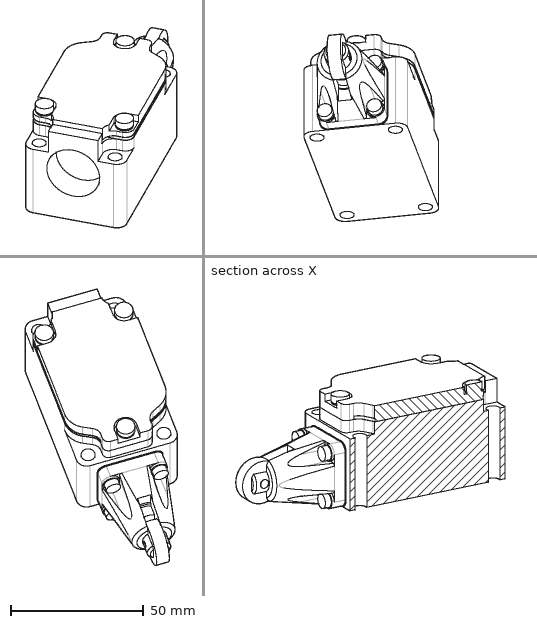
import cadquery as cq
import math

body_width = 40.0
body_length = 68.4
body_corner_radius = 4.0
ledge_z = 29.1
housing_top_z = 34.0
half_width = body_width / 2

mount_hole_diameter = 5.3
mount_hole_pitch_x = 30.2
mount_hole_pitch_y = 58.7

neck_half_width = 9.9
tongue_depth = 5.0
tongue_top_z = 38.6

conduit_diameter = 21.0
conduit_z = 21.6
conduit_depth = 11.4

front_ledge_depth = 9.57
front_outer_radius = 3.5
front_inner_radius = 4.2
rear_edge_y = 67.35
rear_corner_radius = 2.4
rear_inner_y = 60.9
rear_inner_radius = 4.0
rear_outer_y = 55.5
rear_outer_radius = 8.7

cover_front_y = 5.5
cover_rim_z = 35.3
cover_top_z = 40.5
lip_inset = 0.15
lip_rear_y = 63.0

cover_screw_diameter = 7.0
cover_screw_top_z = 41.2
cover_screw_head_height = 3.0
cover_screw_neck_diameter = 6.4
screw_recess_radius = 4.4
screw_recess_floor_z = 37.6
front_screw_x = 15.9
front_screw_y = 13.7
rear_screw_y = 63.2

head_axis_z = 13.1
pad_thickness = 0.35
pad_half_width = head_axis_z
flange_half_width = 12.9
flange_corner_radius = 3.35
flange_top_y = 73.5
facet_base_half_width = 5.0
taper_base_radius = math.hypot(flange_half_width, facet_base_half_width)
taper_top_y = 96.25
taper_top_radius = 8.62
facet_top_offset = 8.66
tip_y = 97.2
tip_radius = 6.95

head_screw_offset = flange_half_width - flange_corner_radius
head_screw_radius = 2.85
head_screw_height = 2.6
head_washer_radius = flange_corner_radius
head_washer_thickness = 1.0
head_pocket_radius = 3.55

roller_radius = 8.5
roller_width = 5.1
roller_y = 99.2
slot_floor_y = 84.9
collar_radius = 6.0
collar_height = 0.7
plunger_radius = 4.75
plunger_top_y = 103.75
plunger_chamfer = 0.95
plunger_slot_floor_y = 89.8
pin_diameter = 3.5
pin_half_length = 4.4


def rounded_outline(plane, corners):
    """Closed outline through (x, y, radius) corners, each rounded by a tangent arc."""
    wire = None
    for i, (x, y, radius) in enumerate(corners):
        corner = cq.Vector(x, y)
        to_before = (cq.Vector(*corners[i - 1][:2]) - corner).normalized()
        to_after = (cq.Vector(*corners[(i + 1) % len(corners)][:2]) - corner).normalized()
        half_angle = to_before.getAngle(to_after) / 2
        tangent_length = radius / math.tan(half_angle)
        arc_start = corner + to_before * tangent_length
        arc_end = corner + to_after * tangent_length
        bisector = (to_before + to_after).normalized()
        arc_middle = corner + bisector * (radius / math.sin(half_angle) - radius)
        start = arc_start.toTuple()[:2]
        wire = plane.moveTo(*start) if wire is None else wire.lineTo(*start)
        if radius > 0:
            wire = wire.threePointArc(arc_middle.toTuple()[:2], arc_end.toTuple()[:2])
    return wire.close()


def mirrored(half):
    """Complete a left-hand list of corners with its reflection in the YZ plane."""
    return half + [(-x, y, radius) for x, y, radius in reversed(half)]


def level(z):
    """Horizontal workplane at height z."""
    return cq.Workplane("XY", origin=(0, 0, z))


def box(x_min, x_max, y_min, y_max, z_min, z_max):
    size = (x_max - x_min, y_max - y_min, z_max - z_min)
    return cq.Workplane("XY").box(*size, centered=False).translate((x_min, y_min, z_min))


rear_half_outline = [
    (-half_width, rear_outer_y, rear_outer_radius),
    (-neck_half_width, rear_inner_y, rear_inner_radius),
    (-neck_half_width, rear_edge_y, rear_corner_radius),
]


def necked_outline(z, front_y):
    """Outline with all four corners cut back; the front neck reaches front_y."""
    front_half = [
        (-neck_half_width, front_y, 0),
        (-neck_half_width, front_ledge_depth, front_inner_radius),
        (-half_width, front_ledge_depth, front_outer_radius),
    ]
    return rounded_outline(level(z), mirrored(front_half + rear_half_outline))


def make_housing():
    """Block with mounting holes, a necked upper part, a front tongue and a blind conduit hole."""
    block = box(-half_width, half_width, 0, body_length, 0, ledge_z)
    block = block.edges("|Z").fillet(body_corner_radius)
    neck = necked_outline(ledge_z, 0).extrude(housing_top_z - ledge_z)
    tongue = box(-neck_half_width, neck_half_width, 0, tongue_depth, ledge_z, tongue_top_z)
    mount_holes = (
        level(0)
        .center(0, body_length / 2)
        .rect(mount_hole_pitch_x, mount_hole_pitch_y, forConstruction=True)
        .vertices()
        .circle(mount_hole_diameter / 2)
        .extrude(ledge_z)
    )
    conduit = cq.Workplane("XZ", origin=(0, 0, conduit_z)).circle(conduit_diameter / 2)
    conduit = conduit.extrude(-conduit_depth)
    return block.union(neck).union(tongue).cut(mount_holes).cut(conduit)


def make_cover_plate():
    plate = necked_outline(cover_rim_z, cover_front_y).extrude(cover_top_z - cover_rim_z)

    lip_height = cover_rim_z - housing_top_z
    lip_half = [(-half_width, front_ledge_depth, front_outer_radius)] + rear_half_outline
    lip_outline = rounded_outline(level(housing_top_z), mirrored(lip_half))
    lip = lip_outline.offset2D(-lip_inset).extrude(lip_height)
    rear_zone = box(-half_width, half_width, lip_rear_y, body_length, housing_top_z, cover_rim_z)
    rear_lip = necked_outline(housing_top_z, cover_front_y).extrude(lip_height).intersect(rear_zone)
    return plate.union(lip).union(rear_lip)


def screw_recess(x, y):
    """Round part of the recess around a cover screw."""
    depth = cover_top_z - screw_recess_floor_z
    return level(screw_recess_floor_z).center(x, y).circle(screw_recess_radius).extrude(depth)


def cover_screw(x, y):
    """Screw head on a slightly narrower neck, standing on the recess floor."""
    head_z = cover_screw_top_z - cover_screw_head_height
    neck = (
        level(screw_recess_floor_z)
        .center(x, y)
        .circle(cover_screw_neck_diameter / 2)
        .extrude(head_z - screw_recess_floor_z)
    )
    head = level(head_z).center(x, y).circle(cover_screw_diameter / 2).extrude(cover_screw_head_height)
    return neck.union(head)


def make_cover():
    """Cover plate with its three screws in open-sided recesses."""
    cover = make_cover_plate()
    floor, top, reach = screw_recess_floor_z, cover_top_z, screw_recess_radius

    cover = cover.cut(screw_recess(0, rear_screw_y))
    cover = cover.cut(box(-reach, reach, rear_screw_y, body_length, floor, top))
    cover = cover.union(cover_screw(0, rear_screw_y))

    for side in (-1, 1):
        screw_x = side * front_screw_x
        inner_x = side * (front_screw_x - reach)
        outer_x = side * half_width
        inner_span = sorted((inner_x, outer_x))
        outer_span = sorted((screw_x, outer_x))
        cover = cover.cut(screw_recess(screw_x, front_screw_y))
        cover = cover.cut(box(*inner_span, front_ledge_depth - reach, front_screw_y, floor, top))
        cover = cover.cut(box(*outer_span, front_screw_y, front_screw_y + reach, floor, top))
        cover = cover.union(cover_screw(screw_x, front_screw_y))
    return cover


def head_section(y):
    """Workplane across the head axis, facing +Y."""
    return cq.Workplane(cq.Plane((0, y, head_axis_z), (1, 0, 0), (0, 1, 0)))


def rounded_square(y, half, radius):
    """Outline of a square with rounded corners across the head axis."""
    corners = [(-half, -half, radius), (half, -half, radius), (half, half, radius), (-half, half, radius)]
    return rounded_outline(head_section(y), corners)


def frustum(y_start, radius_start, y_end, radius_end):
    """Cone frustum on the head axis."""
    length = y_end - y_start
    base = cq.Vector(0, y_start, head_axis_z)
    return cq.Workplane(cq.Solid.makeCone(radius_start, radius_end, length, base, cq.Vector(0, 1, 0)))


def make_head_casting():
    flange_y = body_length + pad_thickness
    pad = rounded_square(body_length, pad_half_width, flange_corner_radius).extrude(pad_thickness)
    flange = rounded_square(flange_y, flange_half_width, flange_corner_radius)
    flange = flange.extrude(flange_top_y - flange_y)

    cone = frustum(flange_top_y, taper_base_radius, taper_top_y, taper_top_radius)
    pyramid = (
        head_section(flange_top_y)
        .rect(2 * flange_half_width, 2 * flange_half_width)
        .workplane(offset=taper_top_y - flange_top_y)
        .rect(2 * facet_top_offset, 2 * facet_top_offset)
        .loft(ruled=True)
    )
    tip = frustum(taper_top_y, taper_top_radius, tip_y, tip_radius)
    taper = cone.intersect(pyramid).union(tip)

    pocket_inner = head_screw_offset - head_pocket_radius
    pocket_outer = flange_half_width + head_pocket_radius
    for sx in (-1, 1):
        for sz in (-1, 1):
            corners = [
                (sx * pocket_inner, sz * pocket_inner, head_pocket_radius),
                (sx * pocket_outer, sz * pocket_inner, 0),
                (sx * pocket_outer, sz * pocket_outer, 0),
                (sx * pocket_inner, sz * pocket_outer, 0),
            ]
            pocket = rounded_outline(head_section(flange_top_y), corners).extrude(tip_y - flange_top_y)
            taper = taper.cut(pocket)

    slot = head_section(slot_floor_y).rect(roller_width, 2 * flange_half_width).extrude(tip_y - slot_floor_y)
    return pad.union(flange).union(taper.cut(slot))


def make_head_screws():
    pitch = 2 * head_screw_offset
    washers = head_section(flange_top_y).rect(pitch, pitch, forConstruction=True).vertices()
    washers = washers.circle(head_washer_radius).extrude(head_washer_thickness)
    heads = head_section(flange_top_y + head_washer_thickness)
    heads = heads.rect(pitch, pitch, forConstruction=True).vertices()
    heads = heads.circle(head_screw_radius).extrude(head_screw_height)
    return washers.union(heads)


def cross_cylinder(radius, length):
    """Cylinder along X, centred on the roller axis."""
    return cq.Workplane("YZ", origin=(0, roller_y, head_axis_z)).circle(radius).extrude(length / 2, both=True)


def make_plunger():
    """Round plunger, slotted for the roller, with its base collar and cross pin."""
    plunger = head_section(slot_floor_y).circle(plunger_radius).extrude(plunger_top_y - slot_floor_y)
    plunger = plunger.faces(">Y").chamfer(plunger_chamfer)
    slot = head_section(plunger_slot_floor_y).rect(roller_width, 2 * plunger_radius)
    plunger = plunger.cut(slot.extrude(plunger_top_y - plunger_slot_floor_y))
    plunger = plunger.cut(cross_cylinder(pin_diameter / 2, 2 * plunger_radius))
    collar = head_section(slot_floor_y).circle(collar_radius).extrude(collar_height)
    pin = cross_cylinder(pin_diameter / 2, 2 * pin_half_length)
    roller = cross_cylinder(roller_radius, roller_width)
    return plunger.union(collar).union(pin).union(roller)


def make_head():
    """Head casting with its screws, plunger, pin and roller as one body."""
    return make_head_casting().union(make_head_screws()).union(make_plunger())


housing = make_housing()
cover = make_cover()
head = make_head()
bodies = [housing, cover, head]
result = cq.Compound.makeCompound([body.solids().val() for body in bodies])